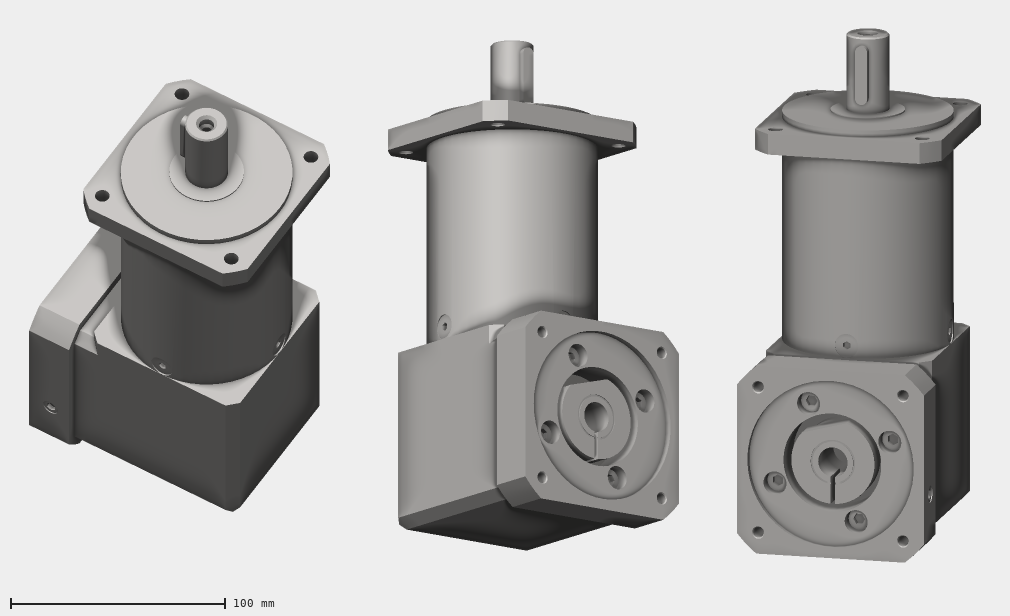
import cadquery as cq
import math


total_height = 235.5
square_side = 90.0
input_axis_z = square_side / 2

housing_side = 80.0
housing_half = housing_side / 2
housing_chamfer = 5.0
housing_top_z = 89.0

plate_front_x = -69.5
plate_thickness = 22.0
plate_back_x = plate_front_x + plate_thickness
input_corner_diameter = 115.0
input_pilot_diameter = 80.0
input_pilot_depth = 3.5
pilot_floor_x = plate_front_x + input_pilot_depth
clamp_bore_diameter = 47.0
plate_hole_offset = 34.9
plate_hole_diameter = 5.0
plate_hole_chamfer = 0.5
plate_hole_depth = 14.1

screw_circle_radius = 30.0
screw_pocket_diameter = 11.0
screw_head_diameter = 10.1
screw_head_gap_depth = 3.0
screw_pocket_depth = 5.7
screw_socket_width = 5.7
screw_socket_depth = 3.0
screw_start_angle = 67.5

hub_radius = 20.0
hub_rear_radius = 18.0
hub_recess = 1.0
hub_face_x = pilot_floor_x + hub_recess
hub_front_length = 11.0
hub_flat_distance = 16.7
hub_flat_tilt = -15.0
hub_bore_diameter = 14.1
hub_bore_depth = 28.3
hub_lip_outer_diameter = 21.5
hub_lip_inner_diameter = 19.5
hub_lip_depth = 0.5
hub_slit_width = 2.1

clamp_screw_x = plate_front_x + 11.8
clamp_screw_z = 30.5
clamp_screw_diameter = 5.7
clamp_screw_end_y = -11.5
access_plug_diameter = 8.0
access_plug_recess = 0.5
access_socket_width = 5.2
access_socket_depth = 2.1

body_radius = 40.0
flange_thickness = 10.0
flange_bottom_z = 185.5
flange_top_z = flange_bottom_z + flange_thickness
flange_corner_diameter = 115.9
flange_hole_offset = 35.3
flange_hole_diameter = 6.8
output_pilot_height = 3.0
seal_diameter = 34.9
seal_height = 0.7
shaft_diameter = 20.0
shaft_chamfer = 0.7
center_hole_diameter = 10.0
center_hole_cone_depth = 1.5
center_hole_neck_diameter = 7.0
center_hole_neck_depth = 4.7
tap_hole_diameter = 4.7
tap_hole_depth = 11.8

key_width = 6.0
key_length = 28.0
key_outer_x = -12.7
key_top_z = 232.0

plug_z = 95.0
plug_seat_diameter = 11.3
plug_seat_depth = 0.7
plug_socket_width = 4.0
plug_socket_depth = 2.1


def cylinder_z(diameter, bottom, top):
    return cq.Workplane("XY").workplane(offset=bottom).circle(diameter / 2).extrude(top - bottom)


def cylinder_x(diameter, start, end, y=0.0, z=input_axis_z):
    """Cylinder along X between two X positions."""
    return cq.Workplane("YZ", origin=(start, y, z)).circle(diameter / 2).extrude(end - start)


def hex_socket_x(corner_width, depth):
    """Hexagonal socket along +X from the origin, with one corner toward +Z."""
    return cq.Workplane("YZ").transformed(rotate=(0, 0, 90)).polygon(6, corner_width).extrude(depth)


def square_points(offset):
    return [(sx * offset, sy * offset) for sx in (-1, 1) for sy in (-1, 1)]


def make_housing():
    """Chamfered vertical block with a chamfered neck reaching the input plate."""
    block_bottom_z = input_axis_z - housing_half
    neck_length = housing_half - plate_back_x
    block = (
        cq.Workplane("XY")
        .workplane(offset=input_axis_z)
        .rect(housing_side, housing_side)
        .extrude(housing_top_z - input_axis_z)
        .edges("|Z")
        .chamfer(housing_chamfer)
    )
    full_box = cq.Workplane("XY", origin=(plate_back_x, 0, block_bottom_z)).box(
        neck_length, housing_side, housing_side, centered=(False, True, False)
    )
    section = full_box.edges("|X").chamfer(housing_chamfer)
    plan = full_box.edges("|Z and >X").chamfer(housing_chamfer)
    profile = full_box.edges("|Y and >X and <Z").chamfer(housing_chamfer)
    neck = section.intersect(plan).intersect(profile)
    return block.union(neck)


def make_output_end():
    """Round body, flange with turned-off corners, pilot, seal ring and shaft."""
    pilot_top_z = flange_top_z + output_pilot_height
    flange = (
        cq.Workplane("XY")
        .workplane(offset=flange_bottom_z)
        .rect(square_side, square_side)
        .extrude(flange_thickness)
        .intersect(cylinder_z(flange_corner_diameter, flange_bottom_z, flange_top_z))
        .faces(">Z")
        .workplane(origin=(0, 0, flange_top_z))
        .pushPoints(square_points(flange_hole_offset))
        .hole(flange_hole_diameter)
    )
    body = cylinder_z(2 * body_radius, housing_top_z, pilot_top_z)
    seal = cylinder_z(seal_diameter, pilot_top_z, pilot_top_z + seal_height)
    shaft = cylinder_z(shaft_diameter, pilot_top_z, total_height).faces(">Z").chamfer(shaft_chamfer)
    return body.union(flange).union(seal).union(shaft).union(make_key())


def make_key():
    key_center_z = key_top_z - key_length / 2
    return (
        cq.Workplane("YZ", origin=(key_outer_x, 0, key_center_z))
        .slot2D(key_length, key_width, 90)
        .extrude(-key_outer_x)
    )


def make_center_hole():
    """Stepped, countersunk hole in the shaft end."""
    mouth = center_hole_diameter / 2
    neck = center_hole_neck_diameter / 2
    tap = tap_hole_diameter / 2
    profile = [
        (0, total_height),
        (mouth, total_height),
        (neck, total_height - center_hole_cone_depth),
        (neck, total_height - center_hole_neck_depth),
        (tap, total_height - center_hole_neck_depth - (neck - tap)),
        (tap, total_height - tap_hole_depth),
        (0, total_height - tap_hole_depth - tap),
    ]
    return cq.Workplane("XZ").polyline(profile).close().revolve(360, (0, 0, 0), (0, 1, 0))


def cut_plugs(solid):
    """Four plugs: a flat round seat in the body wall and a hexagonal socket."""
    seat_x = body_radius - plug_seat_depth
    seat = cylinder_x(plug_seat_diameter, seat_x, body_radius + plug_seat_depth, z=plug_z)
    socket_bottom = (seat_x - plug_socket_depth, 0, plug_z)
    plug = seat.union(hex_socket_x(plug_socket_width, plug_socket_depth).translate(socket_bottom))
    for angle in range(0, 360, 90):
        solid = solid.cut(plug.rotate((0, 0, 0), (0, 0, 1), angle))
    return solid


def make_input_plate():
    """Square plate with turned-off corners, pilot recess and clamp bore."""
    plate = (
        cq.Workplane("YZ", origin=(plate_front_x, 0, input_axis_z))
        .rect(square_side, square_side)
        .extrude(plate_thickness)
        .intersect(cylinder_x(input_corner_diameter, plate_front_x, plate_back_x))
    )
    plate = plate.cut(cylinder_x(input_pilot_diameter, plate_front_x, pilot_floor_x))
    plate = plate.cut(cylinder_x(clamp_bore_diameter, pilot_floor_x, plate_back_x))

    for y, z in square_points(plate_hole_offset):
        hole = cylinder_x(
            plate_hole_diameter, plate_front_x, plate_front_x + plate_hole_depth, y, input_axis_z + z
        )
        plate = plate.cut(hole.union(make_hole_chamfer(y, input_axis_z + z)))

    pocket_floor_x = pilot_floor_x + screw_pocket_depth
    for index in range(4):
        turn = 90 * index
        angle = math.radians(screw_start_angle + turn)
        y = screw_circle_radius * math.cos(angle)
        z = input_axis_z + screw_circle_radius * math.sin(angle)
        pocket = cylinder_x(screw_pocket_diameter, pilot_floor_x, pocket_floor_x, y, z)
        socket = (
            hex_socket_x(screw_socket_width, screw_socket_depth)
            .rotate((0, 0, 0), (1, 0, 0), turn + 90)
            .translate((pocket_floor_x, y, z))
        )
        gap_end_x = pocket_floor_x + screw_head_gap_depth
        head = cylinder_x(screw_head_diameter, pocket_floor_x, gap_end_x, y, z)
        gap = cylinder_x(screw_pocket_diameter, pocket_floor_x, gap_end_x, y, z).cut(head)
        plate = plate.cut(pocket.union(gap).union(socket))
    return plate


def make_hole_chamfer(y, z):
    """Cone that breaks the mouth of a corner hole in the input plate."""
    mouth_radius = plate_hole_diameter / 2 + plate_hole_chamfer
    cone = cq.Solid.makeCone(
        mouth_radius,
        plate_hole_diameter / 2,
        plate_hole_chamfer,
        cq.Vector(plate_front_x, y, z),
        cq.Vector(1, 0, 0),
    )
    return cq.Workplane(obj=cone)


def make_hub():
    """Split clamping hub: flatted front collar on a thinner rear barrel."""
    collar_end_x = hub_face_x + hub_front_length
    flat_cutter = (
        cq.Workplane("YZ", origin=(hub_face_x, 0, input_axis_z))
        .center(0, hub_flat_distance + hub_radius / 2)
        .rect(2 * hub_radius, hub_radius)
        .extrude(hub_front_length)
        .rotate((0, 0, input_axis_z), (1, 0, input_axis_z), hub_flat_tilt)
    )
    collar = cylinder_x(2 * hub_radius, hub_face_x, collar_end_x).cut(flat_cutter)
    hub = collar.union(cylinder_x(2 * hub_rear_radius, collar_end_x, plate_back_x))

    slit = cq.Workplane("XY", origin=(hub_face_x, 0, input_axis_z - hub_radius)).box(
        plate_back_x - hub_face_x, hub_slit_width, hub_radius, centered=(False, True, False)
    )
    groove = cylinder_x(hub_lip_outer_diameter, hub_face_x, hub_face_x + hub_lip_depth).cut(
        cylinder_x(hub_lip_inner_diameter, hub_face_x, hub_face_x + hub_lip_depth)
    )
    return hub.cut(slit).cut(groove)


def make_clamp_screw():
    """Screw whose end stands slightly proud of the hub."""
    return (
        cq.Workplane("XZ", origin=(clamp_screw_x, clamp_screw_end_y, clamp_screw_z))
        .circle(clamp_screw_diameter / 2)
        .extrude(clamp_screw_end_y + hub_slit_width / 2)
    )


def make_access_plug_cut():
    """Shallow recess and hexagonal socket of the plug in the -Y side of the plate."""
    side_y = -square_side / 2
    recess = (
        cq.Workplane("XZ", origin=(clamp_screw_x, side_y, clamp_screw_z))
        .circle(access_plug_diameter / 2)
        .extrude(-access_plug_recess)
    )
    socket = (
        hex_socket_x(access_socket_width, access_socket_depth)
        .rotate((0, 0, 0), (0, 0, 1), 90)
        .translate((clamp_screw_x, side_y + access_plug_recess, clamp_screw_z))
    )
    return recess.union(socket)


result = make_housing().union(make_output_end())
result = cut_plugs(result).cut(make_center_hole())
result = result.union(make_input_plate()).union(make_hub()).union(make_clamp_screw())
result = result.cut(cylinder_x(hub_bore_diameter, hub_face_x, hub_face_x + hub_bore_depth))
result = result.cut(make_access_plug_cut())